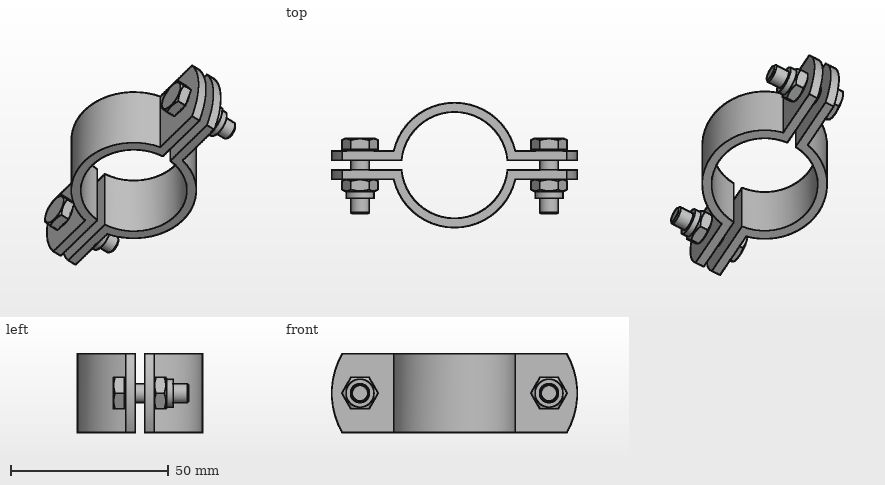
import cadquery as cq
import math

overall_length = 78.0
clamp_height = 25.0
ring_outer_diameter = 39.7
ring_inner_diameter = 33.7
strap_thickness = (ring_outer_diameter - ring_inner_diameter) / 2
half_gap = strap_thickness / 2
ear_face = half_gap + strap_thickness
ear_end_radius = clamp_height

bolt_spacing = 60.0
bolt_diameter = 6.0
bolt_tip_diameter = 5.0
bolt_tip_chamfer = (bolt_diameter - bolt_tip_diameter) / 2
shank_length = 20.0
hex_across_flats = 10.0
hex_across_corners = hex_across_flats / math.cos(math.radians(30))
hex_chamfer_angle = 30.0
hex_crown_diameter = 9.5
head_height = 4.0
bearing_diameter = 8.7
bearing_height = 0.5
nut_height = 6.0
nut_hex_height = 4.0
nut_collar_diameter = 8.9


def cylinder_y(diameter, start, end):
    """Cylinder along Y, from start to end, centred on the Y axis."""
    return cq.Workplane("XZ", origin=(0, end, 0)).circle(diameter / 2).extrude(end - start)


def hexagon_y(start, end):
    """Hexagonal prism along Y with two corners on the X axis."""
    return cq.Workplane("XZ", origin=(0, end, 0)).polygon(6, hex_across_corners).extrude(end - start)


def chamfer_cone(narrow_end, wide_end, narrow_diameter):
    """Cone along Y, widening from narrow_end, that trims the corners of a hexagon."""
    height = abs(wide_end - narrow_end)
    wide_radius = narrow_diameter / 2 + height / math.tan(math.radians(hex_chamfer_angle))
    return (
        cq.Workplane("XY")
        .moveTo(0, narrow_end)
        .lineTo(narrow_diameter / 2, narrow_end)
        .lineTo(wide_radius, wide_end)
        .lineTo(0, wide_end)
        .close()
        .revolve(360, (0, 0, 0), (0, 1, 0))
    )


def make_clamp_half(side):
    """Half ring with two round-ended ears, on the +Y (side = 1) or -Y (side = -1) side."""
    ring = cq.Workplane("XY").circle(ring_outer_diameter / 2).extrude(clamp_height / 2, both=True)
    bore = cq.Workplane("XY").circle(ring_inner_diameter / 2).extrude(clamp_height / 2, both=True)
    half_space = cq.Workplane("XY").box(overall_length, overall_length, clamp_height)
    half_space = half_space.translate((0, side * (half_gap + overall_length / 2), 0))

    half_length = overall_length / 2
    half_height = clamp_height / 2
    end_rise = ear_end_radius - math.sqrt(ear_end_radius**2 - half_height**2)
    corner_x = half_length - end_rise
    ears = (
        cq.Workplane("XZ", origin=(0, ear_face, 0))
        .moveTo(-corner_x, -half_height)
        .lineTo(corner_x, -half_height)
        .threePointArc((half_length, 0), (corner_x, half_height))
        .lineTo(-corner_x, half_height)
        .threePointArc((-half_length, 0), (-corner_x, -half_height))
        .close()
        .extrude(strap_thickness)
    )
    if side < 0:
        ears = ears.mirror("XZ")

    half = ring.intersect(half_space).union(ears).cut(bore)
    for x in bolt_positions:
        half = half.cut(cylinder_y(bolt_diameter, -ear_face, ear_face).translate((x, 0, 0)))
    return half


def make_bolt(x):
    """Hexagon bolt with its head on the +Y ear and its tip pointing to -Y."""
    head_start = ear_face + bearing_height
    head_end = ear_face + head_height
    crown_cone = chamfer_cone(head_end, head_start, hex_crown_diameter)
    head = hexagon_y(head_start, head_end).intersect(crown_cone)
    bearing = cylinder_y(bearing_diameter, ear_face, head_start)
    shank = cylinder_y(bolt_diameter, ear_face - shank_length, ear_face)
    shank = shank.faces("<Y").chamfer(bolt_tip_chamfer)
    return head.union(bearing).union(shank).translate((x, 0, 0))


def make_nut(x):
    """Hexagon nut with a round collar, bearing on the -Y ear."""
    hex_end = -ear_face - nut_hex_height
    collar_cone = chamfer_cone(hex_end, -ear_face, nut_collar_diameter)
    crown_cone = chamfer_cone(-ear_face, hex_end, hex_crown_diameter)
    body = hexagon_y(hex_end, -ear_face).intersect(collar_cone).intersect(crown_cone)
    collar = cylinder_y(nut_collar_diameter, -ear_face - nut_height, hex_end)
    bore = cylinder_y(bolt_diameter, -ear_face - nut_height, -ear_face)
    return body.union(collar).cut(bore).translate((x, 0, 0))


bolt_positions = [-bolt_spacing / 2, bolt_spacing / 2]

clamp_halves = [make_clamp_half(side) for side in (1, -1)]
bolts = [make_bolt(x) for x in bolt_positions]
nuts = [make_nut(x) for x in bolt_positions]

result = cq.Compound.makeCompound([item.solids().val() for item in clamp_halves + bolts + nuts])